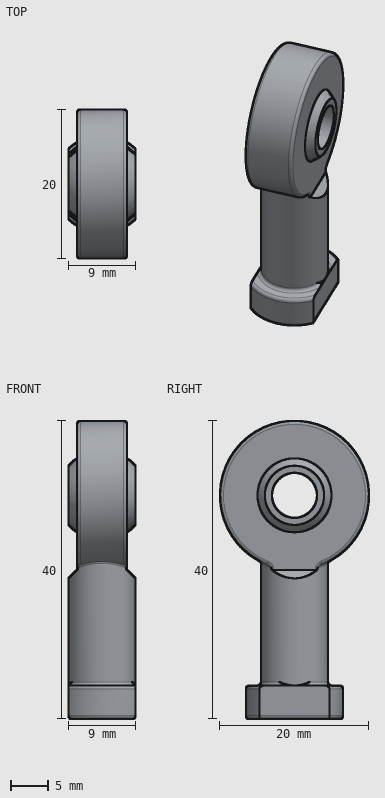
import cadquery as cq
import math

total_height = 40.0
head_radius = 10.0
head_width = 6.75
head_center_z = total_height - head_radius

ball_radius = 6.0
ball_width = 9.0
bore_diameter = 6.0

shank_radius = ball_width / 2
shoulder_z = head_center_z - head_radius
flange_radius = 6.5
flange_height = 4.5
flat_distance = 2 * shank_radius

edge_radius = 0.5
neck_fillet = 0.3


def x_cylinder(radius, length):
    """Cylinder along X, centred on the head."""
    return (
        cq.Workplane("YZ")
        .center(0, head_center_z)
        .circle(radius)
        .extrude(length / 2, both=True)
    )


def make_sphere():
    return cq.Workplane("XY").sphere(ball_radius).translate((0, 0, head_center_z))


def make_flange():
    """Round flange with two flats; the upper rounding runs out at the flats, the lower one goes all round."""
    disc = cq.Workplane("XY").circle(flange_radius).extrude(flange_height).faces(">Z").edges().fillet(edge_radius)
    flats = cq.Workplane("XY").rect(flat_distance, 2 * flange_radius).extrude(flange_height)
    return disc.intersect(flats).faces("<Z").edges().fillet(edge_radius)


def make_shank():
    """Plain shank, narrowed to the head width by two 45 degree shoulders."""
    shank = cq.Workplane("XY").circle(shank_radius).extrude(head_center_z)
    half_width = head_width / 2
    shoulder_drop = shank_radius - half_width
    envelope = (
        cq.Workplane("XZ")
        .moveTo(-shank_radius, edge_radius)
        .lineTo(shank_radius, edge_radius)
        .lineTo(shank_radius, shoulder_z - shoulder_drop)
        .lineTo(half_width, shoulder_z)
        .lineTo(half_width, head_center_z)
        .lineTo(-half_width, head_center_z)
        .lineTo(-half_width, shoulder_z)
        .lineTo(-shank_radius, shoulder_z - shoulder_drop)
        .close()
        .extrude(shank_radius, both=True)
    )
    return shank.intersect(envelope)


def make_foot():
    """Concave fillet between shank and flange that fades out towards the flats."""
    foot_radius = shank_radius + edge_radius
    foot_top = flange_height + edge_radius
    core_radius = shank_radius / 2
    arc_offset = edge_radius * (1 - math.sqrt(0.5))
    ring = (
        cq.Workplane("XZ")
        .moveTo(core_radius, flange_height)
        .lineTo(foot_radius, flange_height)
        .threePointArc(
            (shank_radius + arc_offset, flange_height + arc_offset),
            (shank_radius, foot_top),
        )
        .lineTo(core_radius, foot_top)
        .close()
        .revolve(360, (0, 0, 0), (0, 1, 0))
    )
    half_flats = flat_distance / 2
    envelope = (
        cq.Workplane("XZ")
        .moveTo(-half_flats, flange_height)
        .lineTo(half_flats, flange_height)
        .lineTo(half_flats - edge_radius, foot_top)
        .lineTo(edge_radius - half_flats, foot_top)
        .close()
        .extrude(foot_radius, both=True)
    )
    return ring.intersect(envelope)


def round_neck_and_rim(blank):
    """Fillet the shank into the rim, then round the outline of both head faces down to the shoulders."""
    half_width = head_width / 2
    margin = 0.05
    rim_zone = cq.selectors.BoxSelector(
        (-half_width + edge_radius, -head_radius, shoulder_z + neck_fillet),
        (half_width - edge_radius, head_radius, head_center_z - ball_radius),
    )
    blank = blank.edges(rim_zone).fillet(neck_fillet)
    for side in (-1, 1):
        face_x = side * half_width
        face_zone = cq.selectors.BoxSelector(
            (face_x - margin, -head_radius, shoulder_z + margin),
            (face_x + margin, head_radius, total_height),
        )
        blank = blank.edges(face_zone).fillet(edge_radius)
    return blank


def make_housing():
    """Head, shank and flange in one piece, with a spherical seat for the ball."""
    blank = x_cylinder(head_radius, head_width).union(make_shank())
    return round_neck_and_rim(blank).union(make_flange()).union(make_foot()).cut(make_sphere()).solids()


def make_ball():
    """Sphere trimmed to two flat ends and bored through."""
    ends = x_cylinder(ball_radius, ball_width)
    bore = x_cylinder(bore_diameter / 2, ball_width)
    return make_sphere().intersect(ends).cut(bore).solids()


housing = make_housing()
ball = make_ball()
result = cq.Compound.makeCompound([housing.val(), ball.val()])